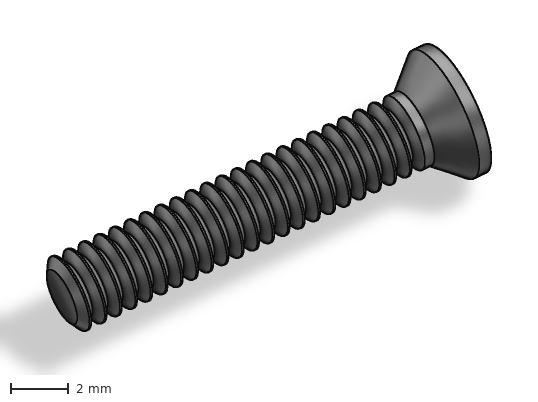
import cadquery as cq

overall_length = 15.88

head_radius = 2.48
rim_height = 0.5
head_height = 1.68

shank_radius = 1.43
collar_length = 0.38
root_radius = 1.05
groove_count = 22
crest_share = 1 / 8

thread_start = head_height + collar_length
thread_length = overall_length - thread_start
half_groove_share = (1 - crest_share) / 2
pitch = thread_length / (groove_count + half_groove_share)
half_groove_width = pitch * half_groove_share


def screw_profile():
    """Half section in the XY plane, listed from the head face down to the tip."""
    points = [
        (0, 0),
        (head_radius, 0),
        (head_radius, -rim_height),
        (shank_radius, -head_height),
    ]
    for index in range(groove_count):
        groove_top = -thread_start - index * pitch
        points += [
            (shank_radius, groove_top),
            (root_radius, groove_top - half_groove_width),
            (shank_radius, groove_top - 2 * half_groove_width),
        ]
    points += [
        (shank_radius, -overall_length + half_groove_width),
        (root_radius, -overall_length),
        (0, -overall_length),
    ]
    return cq.Workplane("XY").polyline(points).close()


result = screw_profile().revolve(360, (0, 0, 0), (0, 1, 0))